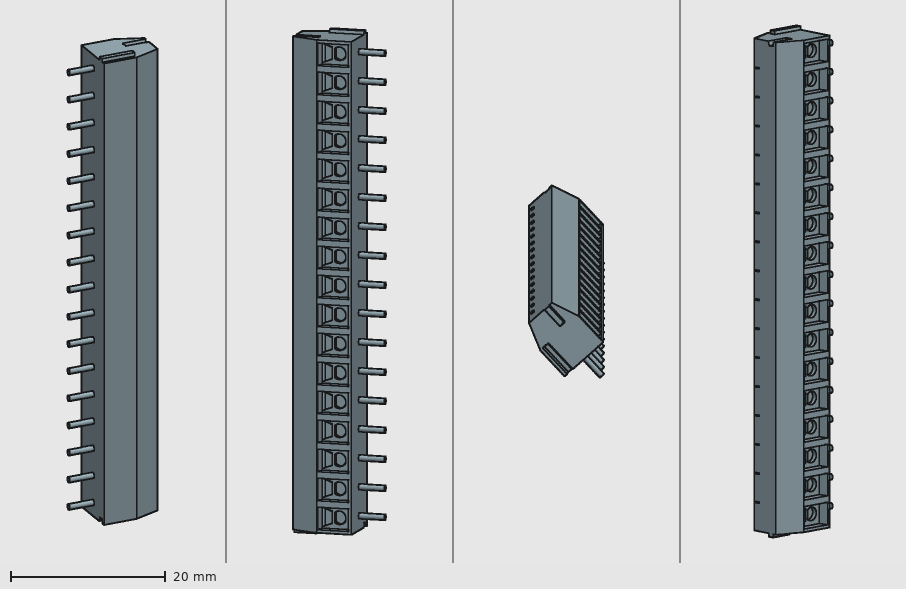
import cadquery as cq
import math

POLES = 17
PITCH = 3.8
OVERALL_HEIGHT = 65.8
BODY_HEIGHT = POLES * PITCH
RAIL_HEIGHT = (OVERALL_HEIGHT - BODY_HEIGHT) / 2

BODY_WIDTH = 6.8
BODY_DEPTH = 8.35
NARROW_WIDTH = 4.0
SLOPE_DEPTH = 3.7
SHOULDER_Y = BODY_DEPTH - SLOPE_DEPTH
SIDE_X = -BODY_WIDTH / 2

PIN_X = 0.05
PIN_DIAMETER = 0.8
PIN_LENGTH = 3.5

POCKET_HEIGHT = 2.95
POCKET_FRONT_Y = 0.4
POCKET_BACK_MARGIN = 0.1
POCKET_BACK_Y = SHOULDER_Y - POCKET_BACK_MARGIN
POCKET_DEPTH = 1.3
POCKET_TAPER = 0.2
FLOOR_X = SIDE_X + POCKET_DEPTH

FUNNEL_DEPTH = 0.2
FUNNEL_RAMP = 0.3
FUNNEL_WIDE_Y = POCKET_BACK_Y - POCKET_TAPER
FUNNEL_NARROW_Y = 3.0
FUNNEL_NARROW_HEIGHT = 1.6
FUNNEL_WIDE_HEIGHT = 2.55

BORE_Y = 2.05
BORE_DIAMETER = 1.8
BORE_FLAT_OFFSET = 0.65
BORE_DEPTH = 0.65

SHOULDER_KEY_X = 2.45
SCREW_KEY_X = -1.1
RAIL_BASE_WIDTH = 0.9
RAIL_TIP_WIDTH = 0.7
GROOVE_MOUTH_WIDTH = 1.0
GROOVE_FLOOR_WIDTH = 0.6
GROOVE_DEPTH = 0.6
SCREW_RAIL_LENGTH = 2.95
SCREW_GROOVE_LENGTH = 3.3

MARK_X = 1.3
MARK_WIDTH = 0.5
MARK_THICKNESS = 0.1
MARK_HEIGHT = 0.2

POLE_HEIGHTS = [PITCH * (pole + 0.5) for pole in range(POLES)]


def make_body():
    """Six-sided section extruded along the pole row."""
    half_section = [
        (BODY_WIDTH / 2, 0),
        (BODY_WIDTH / 2, SHOULDER_Y),
        (NARROW_WIDTH / 2, BODY_DEPTH),
    ]
    mirrored = [(-x, y) for x, y in reversed(half_section)]
    return cq.Workplane("XY").polyline(half_section + mirrored).close().extrude(BODY_HEIGHT)


def tapered_key(center_x, start_y, end_y, base_z, base_width, tip_z, tip_width):
    """Bar along Y with a trapezoid section, from its base height to its tip height."""
    section = [
        (center_x - base_width / 2, base_z),
        (center_x + base_width / 2, base_z),
        (center_x + tip_width / 2, tip_z),
        (center_x - tip_width / 2, tip_z),
    ]
    plane = cq.Workplane("XZ", origin=(0, start_y, 0))
    return plane.polyline(section).close().extrude(start_y - end_y)


def make_rail(center_x, start_y, end_y, face_z, outward):
    """Rail on the end face at face_z; outward is +1 for the upper face, -1 for the lower."""
    tip_z = face_z + outward * RAIL_HEIGHT
    return tapered_key(center_x, start_y, end_y, face_z, RAIL_BASE_WIDTH, tip_z, RAIL_TIP_WIDTH)


def make_groove(center_x, start_y, end_y, face_z, outward):
    """Groove in the end face at face_z; outward is +1 for the upper face, -1 for the lower."""
    floor_z = face_z - outward * GROOVE_DEPTH
    return tapered_key(center_x, start_y, end_y, face_z, GROOVE_MOUTH_WIDTH, floor_z, GROOVE_FLOOR_WIDTH)


def make_pin(z):
    """Round pin standing on the front face."""
    return cq.Workplane("XZ", origin=(PIN_X, 0, z)).circle(PIN_DIAMETER / 2).extrude(PIN_LENGTH)


def make_pocket(z):
    """Rectangular opening whose Y ends lean inward toward the floor."""
    section = [
        (SIDE_X, POCKET_FRONT_Y),
        (SIDE_X, POCKET_BACK_Y),
        (FLOOR_X, POCKET_BACK_Y - POCKET_TAPER),
        (FLOOR_X, POCKET_FRONT_Y + POCKET_TAPER),
    ]
    plane = cq.Workplane("XY", origin=(0, 0, z))
    return plane.polyline(section).close().extrude(POCKET_HEIGHT / 2, both=True)


def make_funnel(z):
    """Recess that narrows toward the bore, limited at its wide end by the ramp."""
    outline = [
        (FUNNEL_WIDE_Y, -FUNNEL_WIDE_HEIGHT / 2),
        (FUNNEL_NARROW_Y, -FUNNEL_NARROW_HEIGHT / 2),
        (FUNNEL_NARROW_Y, FUNNEL_NARROW_HEIGHT / 2),
        (FUNNEL_WIDE_Y, FUNNEL_WIDE_HEIGHT / 2),
    ]
    ramp_section = [
        (FLOOR_X, FUNNEL_NARROW_Y),
        (FLOOR_X, FUNNEL_WIDE_Y),
        (FLOOR_X + FUNNEL_DEPTH, FUNNEL_WIDE_Y - FUNNEL_RAMP),
        (FLOOR_X + FUNNEL_DEPTH, FUNNEL_NARROW_Y),
    ]
    tapered = cq.Workplane("YZ", origin=(FLOOR_X, 0, z)).polyline(outline).close().extrude(FUNNEL_DEPTH)
    plane = cq.Workplane("XY", origin=(0, 0, z))
    ramped = plane.polyline(ramp_section).close().extrude(POCKET_HEIGHT / 2, both=True)
    return tapered.intersect(ramped)


def make_bore(z):
    """Blind round bore cut straight on the side facing the funnel."""
    plane = cq.Workplane("YZ", origin=(FLOOR_X, BORE_Y, z))
    half_chord = math.sqrt((BORE_DIAMETER / 2) ** 2 - BORE_FLAT_OFFSET**2)
    outline = plane.moveTo(BORE_FLAT_OFFSET, half_chord)
    outline = outline.threePointArc((-BORE_DIAMETER / 2, 0), (BORE_FLAT_OFFSET, -half_chord))
    return outline.close().extrude(BORE_DEPTH)


def make_mark(z):
    """Thin bar half sunk into the screw side."""
    center = (MARK_X, BODY_DEPTH, z)
    return cq.Workplane("XY").box(MARK_WIDTH, 2 * MARK_HEIGHT, MARK_THICKNESS).translate(center)


result = make_body()

result = result.union(make_rail(SHOULDER_KEY_X, 0, SHOULDER_Y, BODY_HEIGHT, 1))
result = result.union(make_rail(SCREW_KEY_X, BODY_DEPTH - SCREW_RAIL_LENGTH, BODY_DEPTH, 0, -1))
result = result.cut(make_groove(SHOULDER_KEY_X, 0, SHOULDER_Y, 0, -1))
result = result.cut(make_groove(SCREW_KEY_X, BODY_DEPTH - SCREW_GROOVE_LENGTH, BODY_DEPTH, BODY_HEIGHT, 1))

for pole_z in POLE_HEIGHTS:
    result = result.cut(make_pocket(pole_z))
    result = result.cut(make_funnel(pole_z))
    result = result.cut(make_bore(pole_z))
    result = result.union(make_pin(pole_z))

for pole_z in POLE_HEIGHTS[1:]:
    result = result.union(make_mark(pole_z - PITCH / 2))